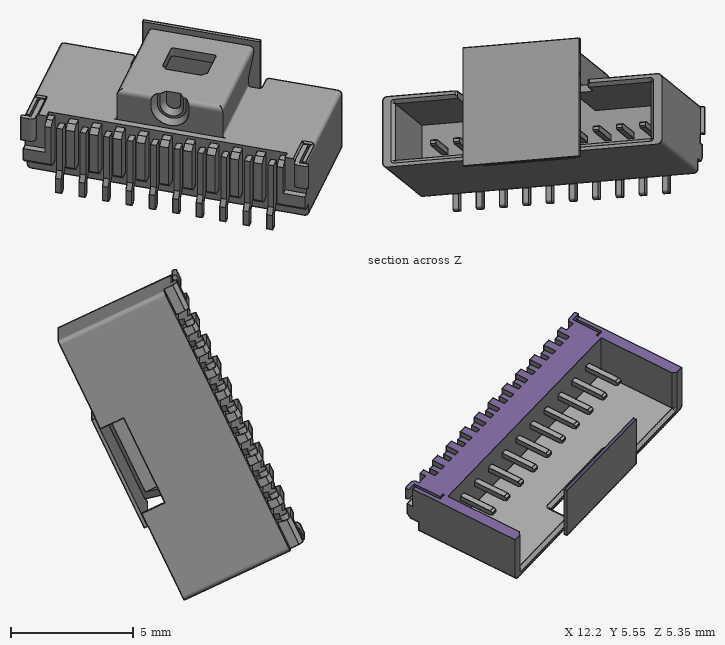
import cadquery as cq
import math


PIN_COUNT = 10
PIN_ROW_LENGTH = 9.0
PITCH = PIN_ROW_LENGTH / (PIN_COUNT - 1)
PIN_WIDTH = 0.25
PIN_TOP_Z = 2.53
PIN_FOOT_Z = -0.61
PIN_STEM_Y = -5.2
PIN_FOOT_FRONT_Y = -5.4
PIN_FOOT_BACK_Y = -5.07
PIN_BEND_FRONT_Z = (0.43, 0.15)
PIN_BEND_BACK_Z = (0.35, 0.06)
PIN_FOOT_ROUND = 0.1
BLADE_TIP_Y = -2.08
BLADE_TIP_LENGTH = 0.11
BLADE_TIP_DROP = 0.06

HOUSING_WIDTH = 12.0
HOUSING_HEIGHT = 2.99
BODY_FRONT_Y = -4.8
CORNER_FRONT_Y = -5.1
CORNER_INNER_X = 5.08
LONG_EDGE_ROUND = 0.2
LIP_TOP_Z = 0.6

RIB_WIDTH = 0.37
RIB_FRONT_Y = -5.37
RIB_TOP_Z = 2.84
RIB_TOP_CHAMFER = (0.25, 0.2)
RIB_BOTTOM_CHAMFER = 0.18
SHELF_TOP_Z = 1.35

TOWER_WIDTH = 4.5
TOWER_TOP_Z = 4.45
TOWER_FRONT_Y = -4.52
TOWER_EDGE_ROUND = 0.21
TOWER_BASE_FILLET = 0.11
ROOF_THICKNESS = 0.4
TOWER_WALL = 0.29

WINDOW_WIDTH = 1.91
WINDOW_BACK_Y = -1.03
WINDOW_FRONT_Y = -2.53
WINDOW_CHAMFER = 0.22
WINDOW_ROUND = 0.1

DIMPLE_CENTER_Z = 3.95
DIMPLE_STEPS = ((0.81, 0.61), (0.5, 0.3))
DIMPLE_STEP_DEPTH = 0.26

WALL = 0.29
END_WALL = 0.5
CAVITY_DEPTH = 3.67
MOUTH_CHAMFER = 0.15
FLOOR_SETBACK = 1.04
NOTCH_WIDTH = 5.6
NOTCH_DEPTH = 0.8
NOTCH_SIDE_Z = 3.41
NOTCH_ROUND = 0.15
NOTCH_FLARE = 0.09

NAIL_THICKNESS = 0.2
NAIL_BEND_RADIUS = 0.18
NAIL_OUTER_X = 6.12
NAIL_LEG_INNER_X = 5.52
NAIL_FRONT_Y = PIN_FOOT_FRONT_Y
NAIL_LEG_BACK_Y = -3.92
NAIL_END_ROUND = 0.06
NAIL_TOP_Z = 2.91
NAIL_BOTTOM_Z = 1.79
SLOT_WIDTH = 0.28
SLOT_BACK_Y = -3.87
RECESS_INNER_X = 5.5

COVER_SIZE = 5.0
COVER_THICKNESS = 0.15
COVER_BOTTOM_Z = -0.26

FLOOR_Z = WALL
CEILING_Z = HOUSING_HEIGHT - WALL
TOWER_CEILING_Z = TOWER_TOP_Z - ROOF_THICKNESS
TOWER_INNER_WIDTH = TOWER_WIDTH - 2 * TOWER_WALL
CAVITY_WIDTH = HOUSING_WIDTH - 2 * END_WALL
PIN_XS = [(i - (PIN_COUNT - 1) / 2) * PITCH for i in range(PIN_COUNT)]
CLEARANCE = 0.61
FLARE_TAPER = -45


def block(x0, x1, y0, y1, z0, z1):
    """Box between two opposite corners."""
    return cq.Workplane("XY").box(x1 - x0, y1 - y0, z1 - z0, centered=False).translate((x0, y0, z0))


def side_profile(points, x0, x1):
    """Prism along X from a list of (y, z) points."""
    return cq.Workplane("YZ", origin=(x0, 0, 0)).polyline(points).close().extrude(x1 - x0)


def both_ends(left_shape):
    """The given left-end shape together with its mirror image at the right end."""
    return left_shape.union(left_shape.mirror("YZ"))


def housing_shell():
    half = HOUSING_WIDTH / 2
    shell = block(-half, half, CORNER_FRONT_Y, 0, 0, HOUSING_HEIGHT).edges("|Y").fillet(LONG_EDGE_ROUND)
    front = CORNER_FRONT_Y - CLEARANCE
    shell = shell.cut(block(-CORNER_INNER_X, CORNER_INNER_X, front, BODY_FRONT_Y, 0, HOUSING_HEIGHT))
    return shell.cut(block(-half, half, front, BODY_FRONT_Y, 0, LIP_TOP_Z))


def latch_tower():
    half = TOWER_WIDTH / 2
    tower = block(-half, half, TOWER_FRONT_Y, 0, HOUSING_HEIGHT, TOWER_TOP_Z)
    tower = tower.edges(">Z and (not >Y)").fillet(TOWER_EDGE_ROUND)
    fillet = TOWER_BASE_FILLET
    left_base_fillet = (
        cq.Workplane("XZ")
        .moveTo(-half, HOUSING_HEIGHT)
        .lineTo(-half - fillet, HOUSING_HEIGHT)
        .radiusArc((-half, HOUSING_HEIGHT + fillet), -fillet)
        .close()
        .extrude(-TOWER_FRONT_Y)
    )
    return tower.union(both_ends(left_base_fillet))


def rib_row():
    top_run, top_drop = RIB_TOP_CHAMFER
    lower_front = [
        (RIB_FRONT_Y, LIP_TOP_Z + RIB_BOTTOM_CHAMFER),
        (RIB_FRONT_Y + RIB_BOTTOM_CHAMFER, LIP_TOP_Z),
        (BODY_FRONT_Y, LIP_TOP_Z),
    ]
    rib_points = [
        (BODY_FRONT_Y, RIB_TOP_Z),
        (RIB_FRONT_Y + top_run, RIB_TOP_Z),
        (RIB_FRONT_Y, RIB_TOP_Z - top_drop),
    ] + lower_front
    shelf_points = [(BODY_FRONT_Y, SHELF_TOP_Z), (RIB_FRONT_Y, SHELF_TOP_Z)] + lower_front

    end_rib_inner_x = PIN_COUNT / 2 * PITCH - RIB_WIDTH / 2
    ribs = both_ends(
        side_profile(rib_points, -CORNER_INNER_X, -end_rib_inner_x)
        .union(side_profile(shelf_points, -HOUSING_WIDTH / 2, -CORNER_INNER_X))
    )
    for pin_x in PIN_XS[:-1]:
        rib_x = pin_x + PITCH / 2
        ribs = ribs.union(side_profile(rib_points, rib_x - RIB_WIDTH / 2, rib_x + RIB_WIDTH / 2))
    return ribs


def mating_cavity():
    """T-shaped cavity with a flared mouth; the upper part lies inside the tower."""
    x_main = CAVITY_WIDTH / 2
    x_tower = TOWER_INNER_WIDTH / 2
    outline = [
        (-x_main, FLOOR_Z), (x_main, FLOOR_Z), (x_main, CEILING_Z), (x_tower, CEILING_Z),
        (x_tower, TOWER_CEILING_Z), (-x_tower, TOWER_CEILING_Z), (-x_tower, CEILING_Z), (-x_main, CEILING_Z),
    ]
    cavity = cq.Workplane("XZ").polyline(outline).close().extrude(CAVITY_DEPTH)
    mouth = (
        cq.Workplane("XZ", origin=(0, -MOUTH_CHAMFER, 0))
        .polyline(outline).close()
        .extrude(-MOUTH_CHAMFER, taper=FLARE_TAPER)
    )
    return cavity.union(mouth)


def side_notch():
    """Opening across the back end of the tower walls and the top wall beside them."""
    bottom = CEILING_Z - WALL
    half = NOTCH_WIDTH / 2
    points = [
        (0, bottom),
        (-NOTCH_DEPTH, bottom),
        (-NOTCH_DEPTH, NOTCH_SIDE_Z),
        (0, NOTCH_SIDE_Z + NOTCH_DEPTH),
    ]
    notch = side_profile(points, -half, half).edges("|Z and <Y").fillet(NOTCH_ROUND)
    flare = (
        cq.Workplane("XY", origin=(0, 0, bottom))
        .polyline([
            (-half, -NOTCH_FLARE), (half, -NOTCH_FLARE), (half + NOTCH_FLARE, 0), (-half - NOTCH_FLARE, 0),
        ])
        .close()
        .extrude(HOUSING_HEIGHT - bottom)
    )
    return notch.union(flare)


def floor_setback():
    """Cut-back of the floor below the tower, with a chamfered upper rim."""
    cut = block(-TOWER_INNER_WIDTH / 2, TOWER_INNER_WIDTH / 2, -FLOOR_SETBACK, CLEARANCE, 0, FLOOR_Z)
    rim = (
        cq.Workplane("XY", origin=(0, 0, FLOOR_Z - MOUTH_CHAMFER))
        .rect(TOWER_INNER_WIDTH, 2 * FLOOR_SETBACK)
        .extrude(MOUTH_CHAMFER, taper=FLARE_TAPER)
    )
    return cut.union(rim)


def window():
    half = WINDOW_WIDTH / 2
    opening = block(-half, half, WINDOW_FRONT_Y, WINDOW_BACK_Y, TOWER_CEILING_Z, TOWER_TOP_Z)
    opening = opening.edges("|Z and <Y").chamfer(WINDOW_CHAMFER)
    return opening.edges("|Z and >Y").fillet(WINDOW_ROUND)


def dimple():
    """Two-step U-shaped recess with sloped walls, open at the top of the tower front."""
    steps = cq.Workplane("XY")
    for i, (outer, inner) in enumerate(DIMPLE_STEPS):
        taper = math.degrees(math.atan((outer - inner) / DIMPLE_STEP_DEPTH))
        steps = steps.union(
            cq.Workplane("XZ", origin=(0, TOWER_FRONT_Y + i * DIMPLE_STEP_DEPTH, DIMPLE_CENTER_Z))
            .moveTo(-outer, 0)
            .threePointArc((0, -outer), (outer, 0))
            .lineTo(outer, TOWER_TOP_Z - DIMPLE_CENTER_Z + CLEARANCE)
            .lineTo(-outer, TOWER_TOP_Z - DIMPLE_CENTER_Z + CLEARANCE)
            .close()
            .extrude(-DIMPLE_STEP_DEPTH, taper=taper)
        )
    return steps


def left_nail_slot():
    """Deep slot for the nail leg, below a shallow recess with a chamfered rim."""
    front = CORNER_FRONT_Y - CLEARANCE
    slot_outer_x = NAIL_LEG_INNER_X + SLOT_WIDTH
    slot = block(-slot_outer_x, -NAIL_LEG_INNER_X, front, SLOT_BACK_Y, NAIL_BOTTOM_Z, HOUSING_HEIGHT)
    outer_x = HOUSING_WIDTH / 2 + CLEARANCE
    recess = (
        cq.Workplane("XY", origin=(-(outer_x + RECESS_INNER_X) / 2, (front + SLOT_BACK_Y) / 2, NAIL_TOP_Z))
        .rect(outer_x - RECESS_INNER_X, SLOT_BACK_Y - front)
        .extrude(HOUSING_HEIGHT - NAIL_TOP_Z, taper=FLARE_TAPER)
    )
    return slot.union(recess)


def left_nail():
    """L-shaped nail: a leg in the slot and a plate with rounded end across the front."""
    plate_back = NAIL_FRONT_Y + NAIL_THICKNESS
    plate = block(-NAIL_OUTER_X, -NAIL_LEG_INNER_X, NAIL_FRONT_Y, plate_back, NAIL_BOTTOM_Z, NAIL_TOP_Z)
    plate = plate.edges("|Z and <X").fillet(NAIL_END_ROUND)
    leg_outer_x = NAIL_LEG_INNER_X + NAIL_THICKNESS
    leg = block(-leg_outer_x, -NAIL_LEG_INNER_X, NAIL_FRONT_Y, NAIL_LEG_BACK_Y, NAIL_BOTTOM_Z, NAIL_TOP_Z)
    return plate.union(leg).edges("|Z and >X and <Y").fillet(NAIL_BEND_RADIUS)


def pin(x):
    """Bent pin on the front face, with its contact blade inside the cavity."""
    x0 = x - PIN_WIDTH / 2
    x1 = x + PIN_WIDTH / 2
    tail = side_profile(
        [
            (BODY_FRONT_Y, PIN_TOP_Z),
            (PIN_STEM_Y, PIN_TOP_Z),
            (PIN_STEM_Y, PIN_BEND_FRONT_Z[0]),
            (PIN_FOOT_FRONT_Y, PIN_BEND_FRONT_Z[1]),
            (PIN_FOOT_FRONT_Y, PIN_FOOT_Z),
            (PIN_FOOT_BACK_Y, PIN_FOOT_Z),
            (PIN_FOOT_BACK_Y, PIN_BEND_BACK_Z[1]),
            (BODY_FRONT_Y, PIN_BEND_BACK_Z[0]),
        ],
        x0, x1,
    ).edges("|X and <Z").fillet(PIN_FOOT_ROUND)

    blade_z = (FLOOR_Z + CEILING_Z) / 2
    low = blade_z - PIN_WIDTH / 2
    high = blade_z + PIN_WIDTH / 2
    tip_start = BLADE_TIP_Y - BLADE_TIP_LENGTH
    blade = side_profile(
        [
            (-CAVITY_DEPTH, low),
            (tip_start, low),
            (BLADE_TIP_Y, low + BLADE_TIP_DROP),
            (BLADE_TIP_Y, high - BLADE_TIP_DROP),
            (tip_start, high),
            (-CAVITY_DEPTH, high),
        ],
        x0, x1,
    )
    return tail, blade


def build_connector():
    body = housing_shell().union(latch_tower()).union(rib_row())
    for cutter in (mating_cavity(), side_notch(), floor_setback(), window(), dimple()):
        body = body.cut(cutter)
    body = body.cut(both_ends(left_nail_slot())).union(both_ends(left_nail()))
    for x in PIN_XS:
        for piece in pin(x):
            body = body.union(piece)
    return body


def build_cover():
    half = COVER_SIZE / 2
    return block(-half, half, 0, COVER_THICKNESS, COVER_BOTTOM_Z, COVER_BOTTOM_Z + COVER_SIZE)


connector = build_connector()
cover = build_cover()

result = cq.Compound.makeCompound([connector.solids().val(), cover.val()])